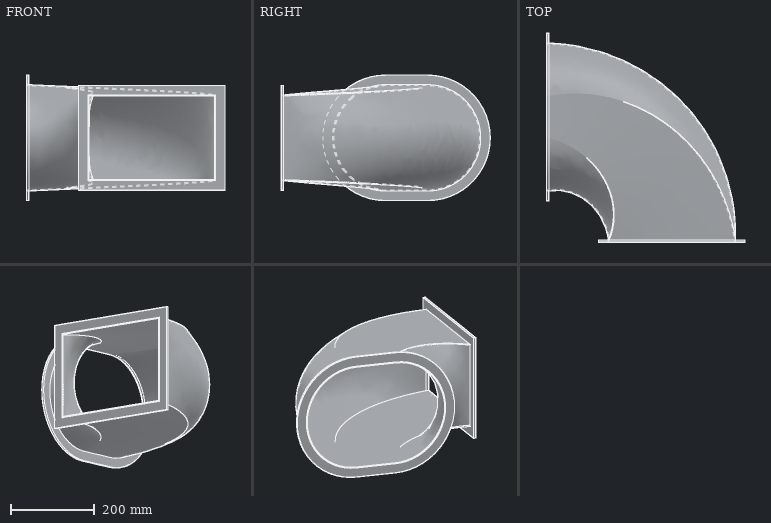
import cadquery as cq
import math

overall_length = 500.5
oval_length = 350.0
oval_height = 249.5
rect_length = 299.5
rect_height = 200.0
wall = 2.5
flange_width = 23.0
flange_thickness = 6.0

flange_offset = wall + flange_width
mouth_center = overall_length - oval_length / 2 - flange_offset

bend_radius = mouth_center - flange_thickness


def oval_wire(offset):
    """Obround in the plane X = 0, grown outward from the bore by offset."""
    radius = oval_height / 2 + offset
    half_straight = (oval_length - oval_height) / 2
    near = mouth_center - half_straight
    far = mouth_center + half_straight
    return (
        cq.Workplane("YZ")
        .moveTo(near, radius)
        .lineTo(far, radius)
        .threePointArc((far + radius, 0), (far, -radius))
        .lineTo(near, -radius)
        .threePointArc((near - radius, 0), (near, radius))
        .close()
        .val()
    )


def rect_wire(offset):
    """Rectangle in the plane Y = 0, grown outward from the bore by offset.

    Its corners run in the same order as the ends of the oval's straight sides.
    """
    half_height = rect_height / 2 + offset
    near = mouth_center - rect_length / 2 - offset
    far = mouth_center + rect_length / 2 + offset
    corners = [(near, half_height), (far, half_height), (far, -half_height), (near, -half_height)]
    return cq.Wire.makePolygon([cq.Vector(x, 0, z) for x, z in corners], close=True)


def extrude_oval(offset):
    """Filled oval slab as thick as its flange."""
    return cq.Solid.extrudeLinear(oval_wire(offset), [], cq.Vector(flange_thickness, 0, 0))


def extrude_rect(offset):
    """Filled rectangular slab as thick as its flange."""
    return cq.Solid.extrudeLinear(rect_wire(offset), [], cq.Vector(0, flange_thickness, 0))


def elbow(offset):
    """Filled elbow: an oval collar, a bend that changes shape, and a rectangular collar."""
    middle = flange_thickness + bend_radius * math.cos(math.radians(45))
    path = (
        cq.Workplane("XY")
        .moveTo(flange_thickness, mouth_center)
        .threePointArc((middle, middle), (mouth_center, flange_thickness))
        .wire()
        .val()
    )
    bend_start = oval_wire(offset).translate(cq.Vector(flange_thickness, 0, 0))
    bend_end = rect_wire(offset).translate(cq.Vector(0, flange_thickness, 0))
    bend = cq.Solid.sweep_multi([bend_start, bend_end], path)
    return cq.Workplane(bend).union(extrude_oval(offset)).union(extrude_rect(offset))


duct = elbow(wall).cut(elbow(0))

oval_flange = extrude_oval(flange_offset).cut(extrude_oval(wall))
rect_flange = extrude_rect(flange_offset).cut(extrude_rect(wall))

result = cq.Compound.makeCompound([duct.val(), oval_flange, rect_flange])